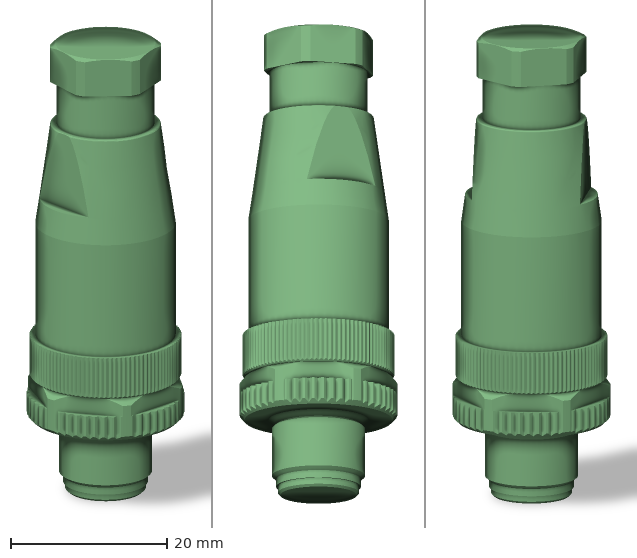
import cadquery as cq
import math

TOTAL_HEIGHT = 60.4
SLEEVE_BOTTOM = 1.1
THREAD_LEAD_BOTTOM = 2.05
THREAD_BOTTOM = 2.55
THREAD_TOP = 8.7
RELIEF_BOTTOM = 8.95
RELIEF_CONE_BOTTOM = 9.2
NUT_BOTTOM = 9.85
NUT_KNURL_TOP = 13.15
NUT_TOP = 15.45
RING_TOP = 21.0
TAPER_BOTTOM = 36.1
SHELL_TOP = 49.65
CAP_HEX_HEIGHT = 4.95
CAP_HEX_BOTTOM = TOTAL_HEIGHT - CAP_HEX_HEIGHT

INSERT_RADIUS = 5.2
INSERT_CHAMFER = 0.3

SLEEVE_RADIUS = 5.45
THREAD_RADIUS = 6.0
RELIEF_CONE_TOP_RADIUS = 6.4
NUT_HEX_FLAT_RADIUS = 9.0
NUT_HEX_TURN = -22.3
NUT_HEX_CHAMFER = 0.85
NUT_RADIUS = 10.1
NUT_KNURL_CHAMFER = 0.6
NUT_GROOVE_COUNT = 52
NUT_GROOVE_DEPTH = 0.4
NUT_CREST_WIDTH = 0.3

RING_RADIUS = 9.7
RING_CHAMFER = 0.3
RING_GROOVE_COUNT = 100
RING_GROOVE_DEPTH = 0.2
RING_CREST_WIDTH = 0.05

SHELL_RADIUS = 9.0
SHELL_TOP_RADIUS = 7.05
SHELL_RIM_FILLET = 0.2
SHELL_TURN = 2.5
WRENCH_FLAT_RADIUS = 7.0
WRENCH_FLAT_BOTTOM = 39.6

CAP_NECK_RADIUS = 6.3
CAP_HEX_FLAT_RADIUS = 6.45
CAP_HEX_CORNER_RADIUS = 7.1
CAP_TOP_RADIUS = 6.4
CAP_CHAMFER_HEIGHT = 0.3
CAP_HEX_TURN = -5.0


def cylinder(radius, bottom, top):
    return cq.Workplane("XY").workplane(offset=bottom).circle(radius).extrude(top - bottom)


def revolved(profile):
    """Turn a closed (radius, height) outline about the Z axis."""
    return cq.Workplane("XZ").polyline(profile).close().revolve(360, (0, 0, 0), (0, 1, 0))


def hexagon(flat_radius, turn, bottom, top):
    """Hexagonal prism with one corner turned from +X by the given angle."""
    corner_diameter = 2 * flat_radius / math.cos(math.pi / 6)
    prism = cq.Workplane("XY").workplane(offset=bottom).polygon(6, corner_diameter).extrude(top - bottom)
    return prism.rotate((0, 0, 0), (0, 0, 1), turn)


def knurled_disc(radius, groove_depth, crest_width, groove_count, bottom, top):
    """Disc with V grooves along its rim, the first one centred on +X, and flat crests between them."""
    pitch_angle = 2 * math.pi / groove_count
    half_crest_angle = crest_width / radius / 2
    rim = []
    for index in range(groove_count):
        root_angle = index * pitch_angle
        crest_angle = root_angle + pitch_angle / 2
        for point_radius, angle in (
            (radius - groove_depth, root_angle),
            (radius, crest_angle - half_crest_angle),
            (radius, crest_angle + half_crest_angle),
        ):
            rim.append((point_radius * math.cos(angle), point_radius * math.sin(angle)))
    return cq.Workplane("XY").workplane(offset=bottom).polyline(rim).close().extrude(top - bottom)


def make_insert():
    """Plain contact carrier filling the bore of the coupling screw."""
    return cylinder(INSERT_RADIUS, 0, NUT_TOP).faces("<Z").chamfer(INSERT_CHAMFER)


def make_coupling_nut():
    """Hexagon rising out of a knurled collar, whose grooves the hexagon corners cross."""
    collar = knurled_disc(
        NUT_RADIUS, NUT_GROOVE_DEPTH, NUT_CREST_WIDTH, NUT_GROOVE_COUNT, NUT_BOTTOM, NUT_KNURL_TOP
    ).rotate((0, 0, 0), (0, 0, 1), NUT_HEX_TURN - 90)
    corner_limit = cylinder(NUT_RADIUS, NUT_BOTTOM, NUT_TOP).faces(">Z").chamfer(NUT_HEX_CHAMFER)
    wrench_hex = hexagon(NUT_HEX_FLAT_RADIUS, NUT_HEX_TURN, NUT_BOTTOM, NUT_TOP).intersect(corner_limit)
    bottom_limit = cylinder(NUT_RADIUS, NUT_BOTTOM, NUT_TOP).faces("<Z").chamfer(NUT_KNURL_CHAMFER)
    return collar.union(wrench_hex).intersect(bottom_limit)


def make_coupling_screw():
    """Nut and threaded shank in one piece, bored through for the insert."""
    relief_edge_radius = THREAD_RADIUS - (RELIEF_BOTTOM - THREAD_TOP)
    shank = revolved([
        (0, SLEEVE_BOTTOM),
        (SLEEVE_RADIUS, SLEEVE_BOTTOM),
        (SLEEVE_RADIUS, THREAD_LEAD_BOTTOM),
        (THREAD_RADIUS, THREAD_BOTTOM),
        (THREAD_RADIUS, THREAD_TOP),
        (relief_edge_radius, RELIEF_BOTTOM),
        (SLEEVE_RADIUS, RELIEF_BOTTOM),
        (SLEEVE_RADIUS, RELIEF_CONE_BOTTOM),
        (RELIEF_CONE_TOP_RADIUS, NUT_BOTTOM),
        (RELIEF_CONE_TOP_RADIUS, NUT_TOP),
        (0, NUT_TOP),
    ])
    bore = cylinder(INSERT_RADIUS, SLEEVE_BOTTOM, NUT_TOP)
    return make_coupling_nut().union(shank).cut(bore)


def make_knurled_ring():
    """Disc between nut and shell, its rim finely knurled."""
    disc = knurled_disc(
        RING_RADIUS, RING_GROOVE_DEPTH, RING_CREST_WIDTH, RING_GROOVE_COUNT, NUT_TOP, RING_TOP
    )
    bevel_limit = cylinder(RING_RADIUS, NUT_TOP, RING_TOP).faces("<Z").chamfer(RING_CHAMFER)
    return disc.intersect(bevel_limit)


def make_shell():
    """Round shell tapering to the cap, with two wrench flats on the taper."""
    shell = revolved([
        (0, RING_TOP),
        (SHELL_RADIUS, RING_TOP),
        (SHELL_RADIUS, TAPER_BOTTOM),
        (SHELL_TOP_RADIUS, SHELL_TOP),
        (0, SHELL_TOP),
    ])
    shell = shell.faces(">Z").edges().fillet(SHELL_RIM_FILLET)
    for side in (-1, 1):
        beyond_flat = (
            cq.Workplane("XY")
            .workplane(offset=WRENCH_FLAT_BOTTOM)
            .center(0, side * (WRENCH_FLAT_RADIUS + SHELL_RADIUS / 2))
            .rect(2 * SHELL_RADIUS, SHELL_RADIUS)
            .extrude(SHELL_TOP - WRENCH_FLAT_BOTTOM)
        )
        shell = shell.cut(beyond_flat)
    return shell.rotate((0, 0, 0), (0, 0, 1), SHELL_TURN)


def make_cap():
    """Hexagonal head on a round neck, the head's corners rounded and its top edge bevelled."""
    neck = cylinder(CAP_NECK_RADIUS, SHELL_TOP, CAP_HEX_BOTTOM)
    head_limit = revolved([
        (0, CAP_HEX_BOTTOM),
        (CAP_HEX_CORNER_RADIUS, CAP_HEX_BOTTOM),
        (CAP_HEX_CORNER_RADIUS, TOTAL_HEIGHT - CAP_CHAMFER_HEIGHT),
        (CAP_TOP_RADIUS, TOTAL_HEIGHT),
        (0, TOTAL_HEIGHT),
    ])
    head = hexagon(CAP_HEX_FLAT_RADIUS, CAP_HEX_TURN, CAP_HEX_BOTTOM, TOTAL_HEIGHT).intersect(head_limit)
    return neck.union(head)


insert = make_insert()
coupling_screw = make_coupling_screw()
knurled_ring = make_knurled_ring()
shell = make_shell()
cap = make_cap()

result = cq.Compound.makeCompound([
    insert.val(),
    coupling_screw.val(),
    knurled_ring.val(),
    shell.val(),
    cap.val(),
])